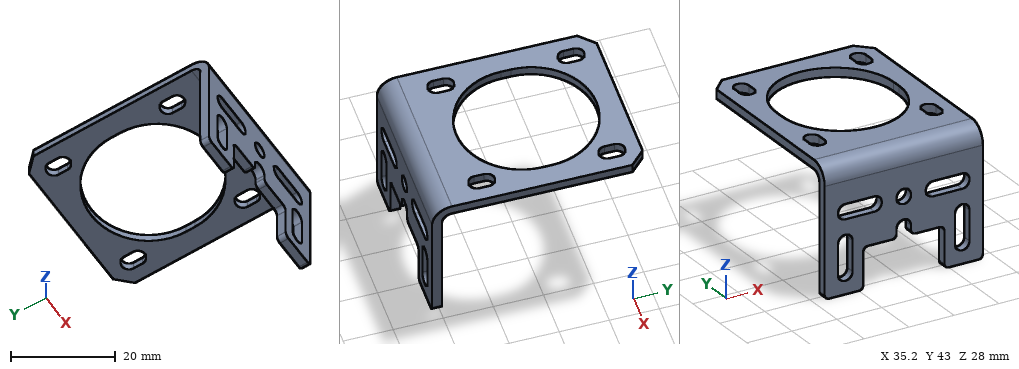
import cadquery as cq
import math

width = 35.2
depth = 43.0
height = 28.0
thickness = 2.0
bend_inner_radius = 2.0
bend_outer_radius = bend_inner_radius + thickness
back_chamfer = 3.0

screw_diameter = 3.2
screw_half_spacing = 13.0
slot_travel = 2.0

opening_diameter = 26.0
opening_to_back_edge = 18.65
opening_center_y = depth - opening_to_back_edge

flange_pitch = screw_half_spacing / 2
upper_row_depth = 10.5
upper_row_z = height - upper_row_depth
middle_row_z = upper_row_z - flange_pitch
lower_row_z = middle_row_z - flange_pitch

notch_width = 18.0
notch_height = 9.0
corner_radius = 1.0


def bent_sheet():
    """L-shaped sheet with concentric bend arcs; the flange face lies on Y = 0."""
    diagonal = math.sqrt(0.5)
    outer_mid = bend_outer_radius - bend_outer_radius * diagonal
    inner_mid = bend_outer_radius - bend_inner_radius * diagonal
    profile = (
        cq.Workplane("YZ")
        .moveTo(0, 0)
        .lineTo(0, height - bend_outer_radius)
        .threePointArc((outer_mid, height - outer_mid), (bend_outer_radius, height))
        .lineTo(depth, height)
        .lineTo(depth, height - thickness)
        .lineTo(bend_outer_radius, height - thickness)
        .threePointArc((inner_mid, height - inner_mid), (thickness, height - bend_outer_radius))
        .lineTo(thickness, 0)
        .close()
    )
    return profile.extrude(width / 2, both=True)


def plate_slot(x, y, diameter):
    """Cutter through the plate: a circle of the given diameter, stretched along Y."""
    return (
        cq.Workplane("XY", origin=(x, y, height))
        .slot2D(diameter + slot_travel, diameter, 90)
        .extrude(-thickness)
    )


def flange_cutter(sketch):
    """Cutter through the flange from a closed outline drawn on the XZ plane."""
    return sketch.extrude(-thickness)


def flange_slot(x, z, angle):
    """Cutter for a flange slot, one grid pitch long between its end centers."""
    outline = (
        cq.Workplane("XZ")
        .center(x, z)
        .slot2D(flange_pitch + screw_diameter, screw_diameter, angle)
    )
    return flange_cutter(outline)


def edge_notch():
    """Wide notch with a narrow round-topped slot above its middle."""
    notch = flange_cutter(
        cq.Workplane("XZ")
        .center(0, notch_height / 2)
        .rect(notch_width, notch_height)
    )
    relief_bottom = notch_height / 2
    relief = flange_cutter(
        cq.Workplane("XZ")
        .moveTo(-screw_diameter / 2, relief_bottom)
        .lineTo(-screw_diameter / 2, middle_row_z)
        .threePointArc(
            (0, middle_row_z + screw_diameter / 2),
            (screw_diameter / 2, middle_row_z),
        )
        .lineTo(screw_diameter / 2, relief_bottom)
        .close()
    )
    return notch.union(relief)


def round_flange_corners(body):
    """Round the flange's outer corners and all corners of its notch."""
    corners = []
    for side in (-1, 1):
        corners.append((side * width / 2, 0))
        corners.append((side * notch_width / 2, 0))
        corners.append((side * notch_width / 2, notch_height))
        corners.append((side * screw_diameter / 2, notch_height))
    for x, z in corners:
        corner_point = (x, thickness / 2, z)
        body = body.edges(cq.selectors.NearestToPointSelector(corner_point)).fillet(corner_radius)
    return body


result = bent_sheet()

result = result.edges("|Z and >Y").chamfer(back_chamfer)

result = result.cut(edge_notch())
result = round_flange_corners(result)

result = result.cut(plate_slot(0, opening_center_y, opening_diameter))
for side_x in (-1, 1):
    for side_y in (-1, 1):
        slot_y = opening_center_y + side_y * screw_half_spacing
        result = result.cut(plate_slot(side_x * screw_half_spacing, slot_y, screw_diameter))

horizontal_slot_x = screw_half_spacing - flange_pitch / 2
vertical_slot_z = (middle_row_z + lower_row_z) / 2
for side in (-1, 1):
    result = result.cut(flange_slot(side * horizontal_slot_x, upper_row_z, 0))
    result = result.cut(flange_slot(side * screw_half_spacing, vertical_slot_z, 90))

center_hole = flange_cutter(
    cq.Workplane("XZ")
    .center(0, upper_row_z)
    .circle(screw_diameter / 2)
)
result = result.cut(center_hole)